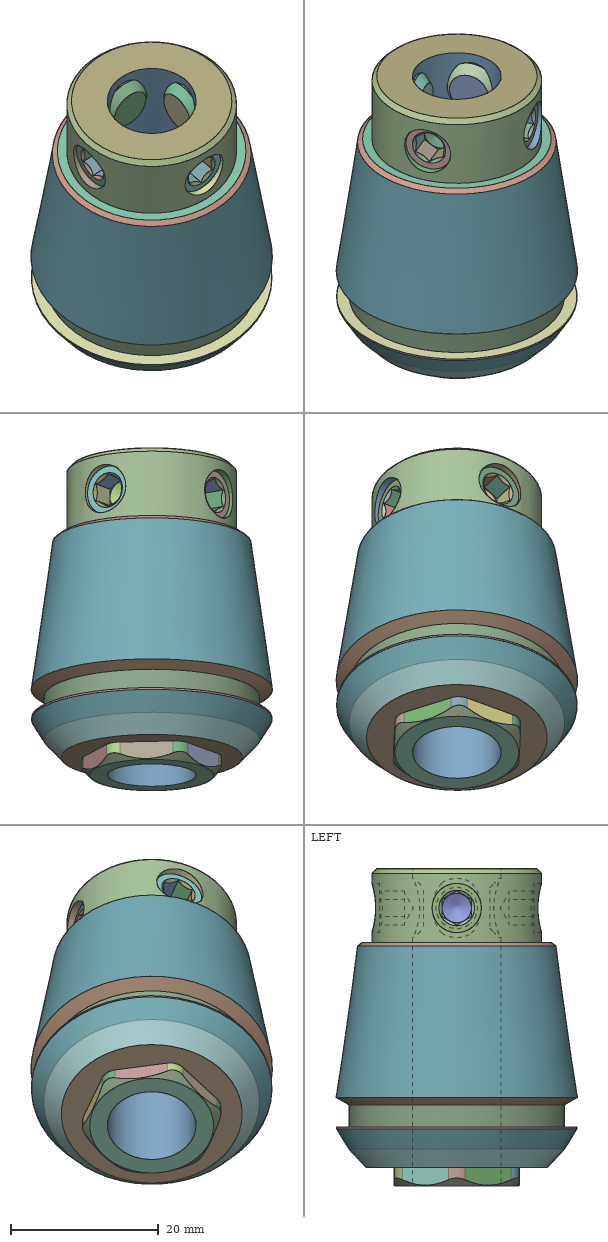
import cadquery as cq
import math

total_height = 43.0
flange_bottom_z = 2.5
flange_break_z = 5.0
rim_bottom_z = 7.75
rim_top_z = 8.0
groove_top_z = 11.0
cone_bottom_z = 12.0
shoulder_z = 33.02
screw_axis_z = 37.65

cone_bottom_radius = 32.72 / 2
cone_top_radius = 13.45
rim_radius = 32.6 / 2
flange_bottom_radius = 12.25
groove_radius = 29.2 / 2
neck_radius = 23.0 / 2
bore_radius = 12.0 / 2
shoulder_chamfer_height = 0.5
shoulder_chamfer_width = 0.7
neck_chamfer = 0.65

hex_across_flats = 17.0
hex_corner_fillet = 2.25
hex_end_radius = 8.4

screw_count = 4
screw_hole_radius = 6.65 / 2
screw_radius = 4.0
screw_outer_distance = 10.5
screw_inner_distance = 4.5
screw_tip_radius = 2.8
socket_across_flats = 4.0
socket_mouth_radius = 2.4
socket_depth = 3.45
socket_tip_depth = 1.15


def hexagon_corner_diameter(across_flats):
    return across_flats / math.cos(math.pi / 6)


def make_turned_body():
    """Revolve the outer outline, from the flange underside to the neck top."""
    outline = [
        (0, flange_bottom_z),
        (flange_bottom_radius, flange_bottom_z),
        (groove_radius, flange_break_z),
        (rim_radius, rim_bottom_z),
        (rim_radius, rim_top_z),
        (groove_radius, rim_top_z),
        (groove_radius, groove_top_z),
        (cone_bottom_radius, cone_bottom_z),
        (cone_top_radius, shoulder_z - shoulder_chamfer_height),
        (cone_top_radius - shoulder_chamfer_width, shoulder_z),
        (neck_radius, shoulder_z),
        (neck_radius, total_height - neck_chamfer),
        (neck_radius - neck_chamfer, total_height),
        (0, total_height),
    ]
    return cq.Workplane("XZ").polyline(outline).close().revolve(360, (0, 0), (0, 1))


def make_hex_drive():
    """Hexagon with rounded corners and a 45 degree conical end chamfer."""
    hexagon = (
        cq.Workplane("XY")
        .polygon(6, hexagon_corner_diameter(hex_across_flats))
        .extrude(flange_bottom_z)
        .edges("|Z")
        .fillet(hex_corner_fillet)
    )
    chamfer_cone = (
        cq.Workplane("XZ")
        .polyline([
            (0, 0),
            (hex_end_radius, 0),
            (hex_end_radius + flange_bottom_z, flange_bottom_z),
            (0, flange_bottom_z),
        ])
        .close()
        .revolve(360, (0, 0), (0, 1))
    )
    return hexagon.intersect(chamfer_cone)


def make_set_screw():
    """Set screw on the +X side, its axis along X and its socket facing outward.

    The shank is wider than the hole, as a thread is, so it merges into the neck wall.
    """
    shank = (
        cq.Workplane("YZ")
        .workplane(offset=screw_inner_distance)
        .circle(screw_radius)
        .extrude(screw_outer_distance - screw_inner_distance)
        .faces("<X")
        .chamfer(screw_radius - screw_tip_radius)
    )
    socket_end = screw_outer_distance - socket_depth
    hex_socket = (
        cq.Workplane("YZ")
        .workplane(offset=socket_end)
        .polygon(6, hexagon_corner_diameter(socket_across_flats))
        .extrude(socket_depth)
        .rotate((0, 0, 0), (1, 0, 0), 90)
    )
    flat_radius = socket_across_flats / 2
    drill_tip = cq.Workplane(
        cq.Solid.makeCone(
            flat_radius, 0, socket_tip_depth, cq.Vector(socket_end, 0, 0), cq.Vector(-1, 0, 0)
        )
    )
    mouth_countersink = cq.Workplane(
        cq.Solid.makeCone(
            socket_mouth_radius,
            0,
            socket_mouth_radius,
            cq.Vector(screw_outer_distance, 0, 0),
            cq.Vector(-1, 0, 0),
        )
    )
    screw = shank.cut(hex_socket).cut(drill_tip).cut(mouth_countersink)
    return screw.translate((0, 0, screw_axis_z))


def make_screw_hole():
    """Radial hole on the +X side, from the bore out through the neck."""
    return (
        cq.Workplane("YZ")
        .center(0, screw_axis_z)
        .circle(screw_hole_radius)
        .extrude(neck_radius)
    )


result = make_turned_body().union(make_hex_drive())
result = result.faces("<Z").workplane().circle(bore_radius).cutThruAll()

for index in range(screw_count):
    angle = index * 360 / screw_count
    result = result.cut(make_screw_hole().rotate((0, 0, 0), (0, 0, 1), angle))
    result = result.union(make_set_screw().rotate((0, 0, 0), (0, 0, 1), angle))